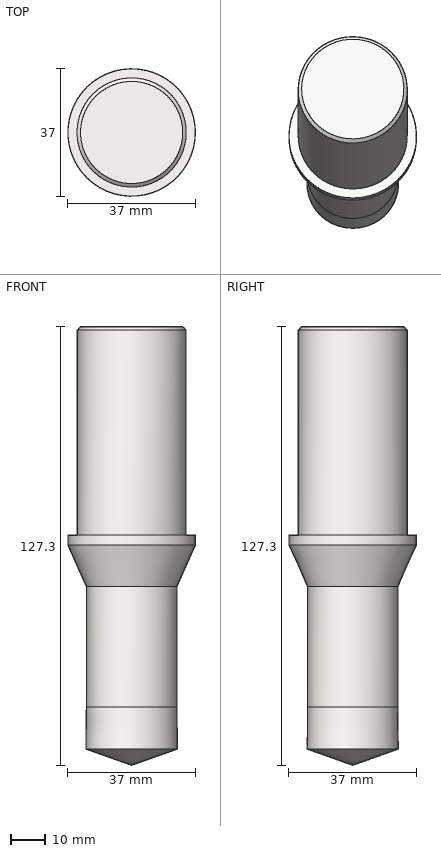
import cadquery as cq

TOTAL_LENGTH = 127.3
POINT_HEIGHT = 4.7
TIP_TOP = 16.9
CONE_BOTTOM = 52.0
COLLAR_BOTTOM = 63.9
COLLAR_TOP = 66.8

CUTTING_DIAMETER = 26.6
BODY_DIAMETER = 26.4
COLLAR_DIAMETER = 37.0
SHANK_DIAMETER = 31.7

BEVEL = 1.0


def revolve_profile(points):
    """Turn a closed outline of (radius, height) points about the Z axis."""
    return cq.Workplane("XZ").polyline(points).close().revolve(360, (0, 0), (0, 1))


def make_cutting_tip():
    """Pointed tip, tapering slightly from its cutting edge up to the body."""
    return revolve_profile([
        (0, 0),
        (CUTTING_DIAMETER / 2, POINT_HEIGHT),
        (BODY_DIAMETER / 2, TIP_TOP),
        (0, TIP_TOP),
    ])


def make_holder():
    """Body, flared collar and bevelled shank, seated on top of the tip."""
    body_radius = BODY_DIAMETER / 2
    collar_radius = COLLAR_DIAMETER / 2
    shank_radius = SHANK_DIAMETER / 2
    return revolve_profile([
        (0, TIP_TOP),
        (body_radius, TIP_TOP),
        (body_radius, CONE_BOTTOM),
        (collar_radius, COLLAR_BOTTOM),
        (collar_radius, COLLAR_TOP),
        (shank_radius, COLLAR_TOP),
        (shank_radius, TOTAL_LENGTH - BEVEL),
        (shank_radius - BEVEL, TOTAL_LENGTH),
        (0, TOTAL_LENGTH),
    ])


cutting_tip = make_cutting_tip()
holder = make_holder()

result = cq.Compound.makeCompound([cutting_tip.val(), holder.val()])